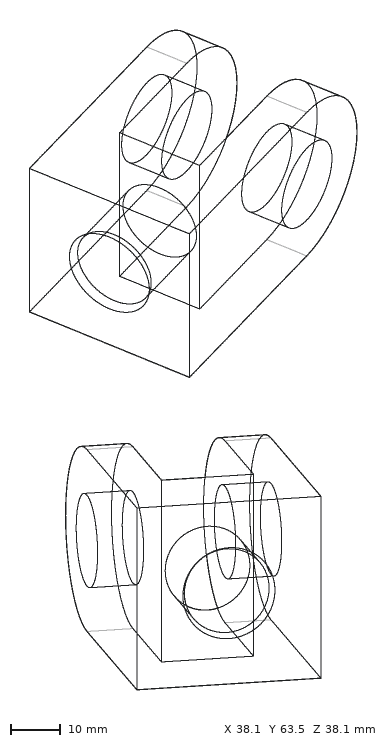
import cadquery as cq

length = 63.5
width = 38.1
slot_width = width / 2
slot_floor = 19.05
pin_hole_diameter = 19.05
shank_hole_diameter = 17.5
shank_mouth_diameter = 19.05
mouth_depth = 1.9

tip_radius = width / 2
pin_y = length - tip_radius


def fork_body():
    """Square block with a full round at the fork end, centred on X and Z."""
    return (
        cq.Workplane("YZ")
        .moveTo(0, -tip_radius)
        .lineTo(pin_y, -tip_radius)
        .threePointArc((length, 0), (pin_y, tip_radius))
        .lineTo(0, tip_radius)
        .close()
        .extrude(width / 2, both=True)
    )


def fork_slot():
    """Open slot that separates the two fork arms."""
    slot_depth = length - slot_floor
    return (
        cq.Workplane("XY")
        .box(slot_width, slot_depth, width, centered=(True, False, True))
        .translate((0, slot_floor, 0))
    )


def pin_hole():
    """Cross hole through both arms, concentric with the rounded tips."""
    return (
        cq.Workplane("YZ")
        .center(pin_y, 0)
        .circle(pin_hole_diameter / 2)
        .extrude(width / 2, both=True)
    )


def shank_hole():
    """Axial hole through the base, with a steep tapered lead-in at its outer mouth."""
    hole_radius = shank_hole_diameter / 2
    return (
        cq.Workplane("XY")
        .lineTo(shank_mouth_diameter / 2, 0)
        .lineTo(hole_radius, mouth_depth)
        .lineTo(hole_radius, slot_floor)
        .lineTo(0, slot_floor)
        .close()
        .revolve(360, (0, 0, 0), (0, 1, 0))
    )


result = fork_body().cut(fork_slot()).cut(pin_hole()).cut(shank_hole())